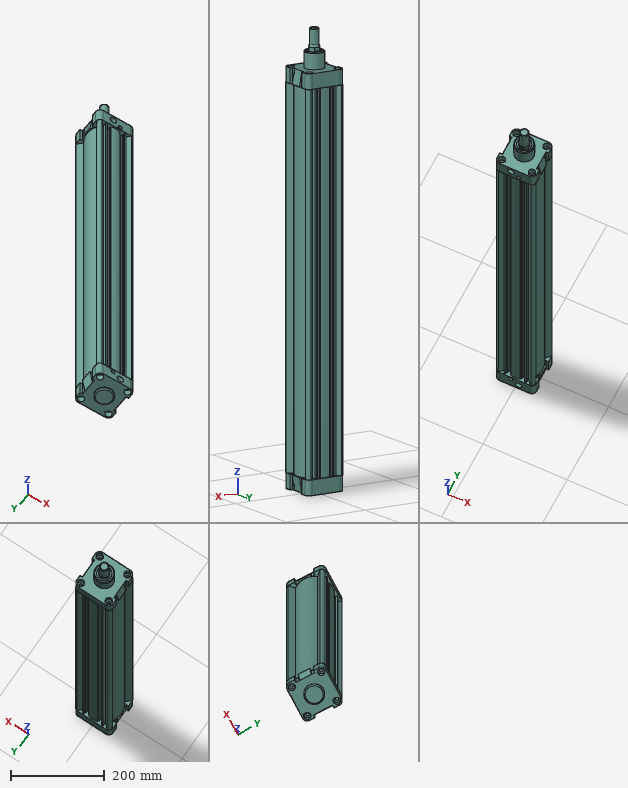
import cadquery as cq

total_length = 1018.0
boss_height = 5.0
cap_height = 35.0
cap_top = 930.0
collar_top = 968.0
shank_top = 976.0
thread_bottom = 982.0
tube_bottom = boss_height + cap_height
tube_top = cap_top - cap_height

side = 94.0
half_side = side / 2
cap_corner_radius = 11.0

recess_width = 46.0
recess_depth = 6.0
wedge_width = 29.0

tube_corner_radius = 10.0
groove_half_width = 39.0
barrel_radius = 44.0
slope_foot_side = 26.0
slope_foot_height = half_side - (groove_half_width - slope_foot_side)
rail_outer = slope_foot_side
rail_face = 44.0
mouth_inner = 11.0
slot_width = 6.0
slot_floor = 34.0
mouth_width = 11.0
mouth_floor = 40.0
slot_center = mouth_inner + mouth_width / 2

thread_diameter = 20.0
thread_chamfer = 2.0
rod_diameter = 24.0
across_flats = 21.0
collar_radius = 22.0
collar_chamfer = 2.0
seal_recess_radius = 16.0
seal_recess_depth = 2.0
boss_chamfer = 3.0

screw_offset = 36.0
screw_hole_diameter = 7.0
screw_head_diameter = 15.0
screw_head_depth = 16.0

port_offset = 9.0
port_diameter = 16.0
port_from_end = 14.0
chamber_radius = 14.0
chamber_bottom = 10.0
cushion_diameter = 10.0
cushion_depth = 5.0
cushion_from_tube = 8.0


def cylinder(radius, bottom, top):
    return cq.Workplane("XY").workplane(offset=bottom).circle(radius).extrude(top - bottom)


def make_wedge():
    """Ramp on the +X side: recessed at the outer end of the cap, flush at the tube."""
    floor = half_side - recess_depth
    return (
        cq.Workplane("XZ", origin=(0, wedge_width / 2, 0))
        .polyline([(floor, 0), (half_side, 0), (floor, cap_height)])
        .close()
        .extrude(wedge_width)
    )


def front_hole(x, z, diameter, depth):
    return cq.Workplane("XZ", origin=(x, -half_side, z)).circle(diameter / 2).extrude(-depth)


def make_cap():
    """Rod-end cap, standing with the tube face at Z = 0 and the outer face up."""
    cap = cq.Workplane("XY").rect(side, side).extrude(cap_height)
    cap = cap.edges("|Z").fillet(cap_corner_radius)
    recess = (
        cq.Workplane("XY")
        .pushPoints([(-half_side, 0), (half_side, 0)])
        .rect(2 * recess_depth, recess_width)
        .extrude(cap_height)
    )
    wedge = make_wedge()
    cap = cap.cut(recess).union(wedge).union(wedge.mirror("YZ"))
    port = front_hole(-port_offset, cap_height - port_from_end, port_diameter, half_side)
    cushion = front_hole(port_offset, cushion_from_tube, cushion_diameter, cushion_depth)
    port = port.cut(cylinder(rod_diameter / 2, 0, cap_height))
    return cap.cut(port).cut(cushion)


def make_groove_cutter(angle):
    """Trapezoid taken off one side of the tube, between two corner lobes."""
    return (
        cq.Workplane("XY", origin=(0, 0, tube_bottom))
        .polyline(
            [
                (-groove_half_width, -half_side),
                (groove_half_width, -half_side),
                (slope_foot_side, -slope_foot_height),
                (-slope_foot_side, -slope_foot_height),
            ]
        )
        .close()
        .extrude(tube_top - tube_bottom)
        .rotate((0, 0, 0), (0, 0, 1), angle)
    )


def make_tube():
    length = tube_top - tube_bottom
    base = cq.Workplane("XY", origin=(0, 0, tube_bottom))
    tube = base.rect(side, side).extrude(length).edges("|Z").fillet(tube_corner_radius)
    for angle in (0, 90, 180, 270):
        tube = tube.cut(make_groove_cutter(angle))
    tube = tube.union(cylinder(barrel_radius, tube_bottom, tube_top))

    for x_sign in (-1, 1):
        for y_sign in (-1, 1):
            rail_x = x_sign * (slot_center + rail_outer) / 2
            rail_y = y_sign * rail_face / 2
            rail = base.center(rail_x, rail_y).rect(rail_outer - slot_center, rail_face).extrude(length)
            tube = tube.union(rail)
            for width, floor in ((mouth_width, mouth_floor), (slot_width, slot_floor)):
                slot_y = y_sign * (floor + half_side) / 2
                slot = base.center(x_sign * slot_center, slot_y).rect(width, half_side - floor)
                tube = tube.cut(slot.extrude(length))
    return tube


def make_rod():
    thread_radius = thread_diameter / 2
    rod_radius = rod_diameter / 2
    rod = (
        cq.Workplane("XZ")
        .moveTo(0, collar_top - seal_recess_depth)
        .lineTo(rod_radius, collar_top - seal_recess_depth)
        .lineTo(rod_radius, shank_top)
        .lineTo(thread_radius, thread_bottom)
        .lineTo(thread_radius, total_length - thread_chamfer)
        .lineTo(thread_radius - thread_chamfer, total_length)
        .lineTo(0, total_length)
        .close()
        .revolve(360, (0, 0, 0), (0, 1, 0))
    )

    between_flats = cq.Workplane("XY", origin=(0, 0, collar_top)).rect(side, across_flats)
    shank = cylinder(rod_radius, collar_top, shank_top)
    flats = shank.cut(between_flats.extrude(shank_top - collar_top))
    return rod.cut(flats)


def cut_tie_rod_screws(body):
    corners = cq.Workplane("XY").rect(2 * screw_offset, 2 * screw_offset, forConstruction=True)
    body = body.cut(corners.vertices().circle(screw_hole_diameter / 2).extrude(total_length))
    heads = corners.vertices().circle(screw_head_diameter / 2).extrude(screw_head_depth)
    for bottom in (boss_height, cap_top - screw_head_depth):
        body = body.cut(heads.translate((0, 0, bottom)))
    return body


cap = make_cap()
rod_cap = cap.translate((0, 0, tube_top))
rear_cap = cap.rotate((0, 0, 0), (0, 1, 0), 180).translate((0, 0, tube_bottom))
chamber = cylinder(chamber_radius, chamber_bottom, tube_bottom)
collar = cylinder(collar_radius, cap_top, collar_top).faces(">Z").chamfer(collar_chamfer)
seal_recess = cylinder(seal_recess_radius, collar_top - seal_recess_depth, collar_top)
collar = collar.cut(seal_recess)
rear_boss = cylinder(collar_radius, 0, boss_height).faces("<Z").chamfer(boss_chamfer)

body = make_tube().union(rod_cap).union(rear_cap).cut(chamber)
body = cut_tie_rod_screws(body)
result = body.union(collar).union(rear_boss).union(make_rod())